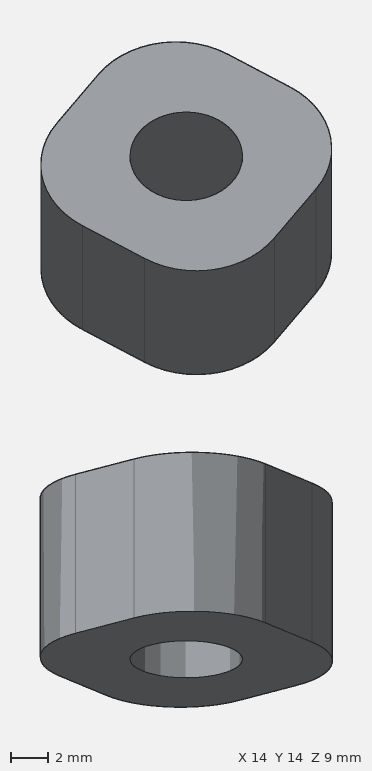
import cadquery as cq

side = 14.0
height = 9.0
corner_radius = 5.0
bore_diameter = 6.0

block = cq.Workplane("XY").box(side, side, height).edges("|Z").fillet(corner_radius)

result = block.faces(">Z").workplane().hole(bore_diameter)